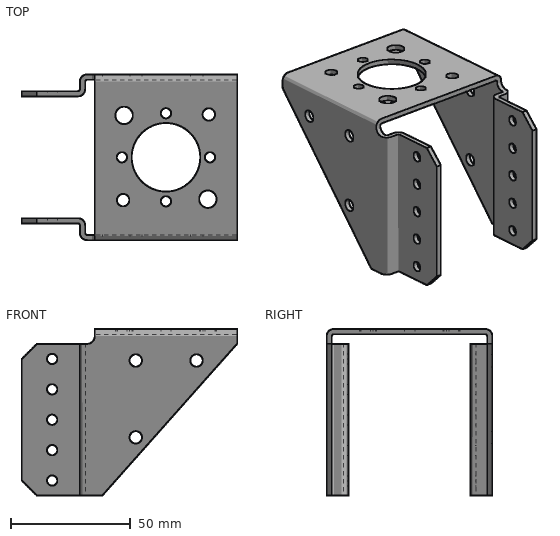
import cadquery as cq

LENGTH = 90.06
WIDTH = 69.34
HEIGHT = 69.72

THICKNESS = 2.286
INNER_BEND = 0.762
OUTER_BEND = INNER_BEND + THICKNESS

PLATE_START_X = 30.48
PLATE_CENTER_X = (PLATE_START_X + LENGTH) / 2
RELIEF_RADIUS = 3.175
BEND_START_Z = HEIGHT - OUTER_BEND
FLANGE_TOP_Z = BEND_START_Z - RELIEF_RADIUS

FLANGE_GAP = 50.8
FLANGE_CHAMFER = 6.35
WALL_START_X = PLATE_START_X - RELIEF_RADIUS
JOGGLE_X = WALL_START_X - OUTER_BEND
WALL_FOOT_X = PLATE_START_X + RELIEF_RADIUS
WALL_TIP_Z = FLANGE_TOP_Z

SMALL_HOLE = 4.2
FLANGE_HOLE_X = 12.7
FLANGE_HOLE_PITCH = 12.7
FLANGE_HOLE_COUNT = 5
FIRST_FLANGE_HOLE_Z = (FLANGE_TOP_Z - (FLANGE_HOLE_COUNT - 1) * FLANGE_HOLE_PITCH) / 2

MEDIUM_HOLE = 5.1
WALL_HOLE_X = 47.65
WALL_HOLE_Z = 56.5
WALL_HOLE_SPACING_X = 25.4
WALL_HOLE_SPACING_Z = 32.1

CENTER_HOLE = 28.575
LARGE_HOLE = 7.2
SMALL_HOLE_OFFSET = 18.4
MEDIUM_HOLE_OFFSET = 17.9
LARGE_HOLE_OFFSET = 17.5


def box(x_range, y_range, z_range):
    """Box spanning the given coordinate ranges."""
    size = [high - low for low, high in (x_range, y_range, z_range)]
    return cq.Workplane("XY").box(*size, centered=False).translate((x_range[0], y_range[0], z_range[0]))


def bent_top():
    """Top plate with the rounded bends leading into both side walls."""
    outer = box((PLATE_START_X, LENGTH), (-WIDTH / 2, WIDTH / 2), (0, HEIGHT))
    outer = outer.edges("|X and >Z").fillet(OUTER_BEND)
    inner_y = WIDTH / 2 - THICKNESS
    inner = box((PLATE_START_X, LENGTH), (-inner_y, inner_y), (0, HEIGHT - THICKNESS))
    inner = inner.edges("|X and >Z").fillet(INNER_BEND)
    below_bend = box((PLATE_START_X, LENGTH), (-WIDTH / 2, WIDTH / 2), (0, BEND_START_Z))
    return outer.cut(inner).cut(below_bend)


def joggled_wall():
    """Front (-Y) side wall and flange as a Z-shaped strip, before trimming to its outline."""
    wall_outer_y = -WIDTH / 2
    wall_inner_y = wall_outer_y + THICKNESS
    flange_inner_y = -FLANGE_GAP / 2
    flange_outer_y = flange_inner_y - THICKNESS
    web_inner_x = JOGGLE_X + THICKNESS

    flange = box((0, web_inner_x), (flange_outer_y, flange_inner_y), (0, BEND_START_Z))
    web = box((JOGGLE_X, web_inner_x), (wall_outer_y, flange_inner_y), (0, BEND_START_Z))
    wall = box((JOGGLE_X, LENGTH), (wall_outer_y, wall_inner_y), (0, BEND_START_Z))
    strip = flange.union(web).union(wall)

    def bend(solid, x, y, radius):
        corner = cq.selectors.NearestToPointSelector((x, y, BEND_START_Z / 2))
        return solid.edges("|Z").edges(corner).fillet(radius)

    strip = bend(strip, JOGGLE_X, wall_outer_y, OUTER_BEND)
    strip = bend(strip, web_inner_x, wall_inner_y, INNER_BEND)
    strip = bend(strip, web_inner_x, flange_inner_y, OUTER_BEND)
    return bend(strip, JOGGLE_X, flange_outer_y, INNER_BEND)


def side_outline():
    """XZ outline of the side wall and flange, extruded across the full width."""
    relief_center = (WALL_START_X, BEND_START_Z)
    outline = (
        cq.Workplane("XZ")
        .moveTo(FLANGE_CHAMFER, 0)
        .lineTo(WALL_FOOT_X, 0)
        .lineTo(LENGTH, WALL_TIP_Z)
        .lineTo(LENGTH, BEND_START_Z)
        .lineTo(WALL_START_X, BEND_START_Z)
        .lineTo(WALL_START_X, FLANGE_TOP_Z)
        .lineTo(FLANGE_CHAMFER, FLANGE_TOP_Z)
        .lineTo(0, FLANGE_TOP_Z - FLANGE_CHAMFER)
        .lineTo(0, FLANGE_CHAMFER)
        .close()
        .extrude(WIDTH / 2, both=True)
    )
    relief = cq.Workplane("XZ").center(*relief_center).circle(RELIEF_RADIUS).extrude(WIDTH / 2, both=True)
    return outline.cut(relief)


def cross_holes(points, diameter):
    """Cylinders along Y through both sides at the given (x, z) points."""
    return cq.Workplane("XZ").pushPoints(points).circle(diameter / 2).extrude(WIDTH, both=True)


def plate_holes(offsets, diameter):
    """Cylinders through the top plate at offsets from its center."""
    plane = cq.Workplane("XY", origin=(PLATE_CENTER_X, 0, HEIGHT - THICKNESS))
    return plane.pushPoints(offsets).circle(diameter / 2).extrude(THICKNESS)


wall = joggled_wall().intersect(side_outline())
result = bent_top().union(wall).union(wall.mirror("XZ"))

flange_points = [
    (FLANGE_HOLE_X, FIRST_FLANGE_HOLE_Z + i * FLANGE_HOLE_PITCH) for i in range(FLANGE_HOLE_COUNT)
]
result = result.cut(cross_holes(flange_points, SMALL_HOLE))

wall_points = [
    (WALL_HOLE_X, WALL_HOLE_Z),
    (WALL_HOLE_X + WALL_HOLE_SPACING_X, WALL_HOLE_Z),
    (WALL_HOLE_X, WALL_HOLE_Z - WALL_HOLE_SPACING_Z),
]
result = result.cut(cross_holes(wall_points, MEDIUM_HOLE))

small_offsets = [
    (SMALL_HOLE_OFFSET, 0),
    (-SMALL_HOLE_OFFSET, 0),
    (0, SMALL_HOLE_OFFSET),
    (0, -SMALL_HOLE_OFFSET),
]
medium_offsets = [(sign * MEDIUM_HOLE_OFFSET, sign * MEDIUM_HOLE_OFFSET) for sign in (-1, 1)]
large_offsets = [(sign * LARGE_HOLE_OFFSET, -sign * LARGE_HOLE_OFFSET) for sign in (-1, 1)]
result = result.cut(plate_holes([(0, 0)], CENTER_HOLE))
result = result.cut(plate_holes(small_offsets, SMALL_HOLE))
result = result.cut(plate_holes(medium_offsets, MEDIUM_HOLE))
result = result.cut(plate_holes(large_offsets, LARGE_HOLE))